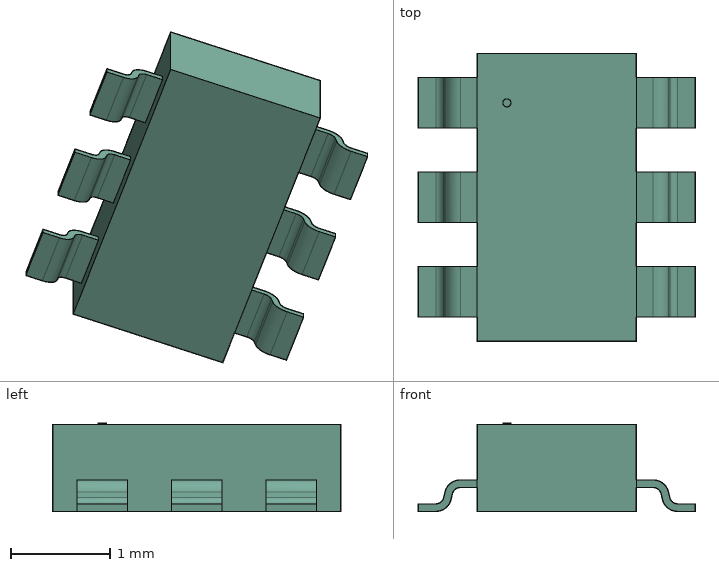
import cadquery as cq
import math

housing_width = 1.6
housing_length = 2.9
housing_height = 0.88

dot_diameter = 0.08
dot_thickness = 0.012
dot_inset_x = 0.3
dot_inset_y = 0.5

span_over_leads = 2.79
leads_per_side = 3
lead_pitch = 0.95
lead_width = 0.51
lead_thickness = 0.078
lead_top = 0.32
foot_length = 0.177
bend_inner_radius = 0.08
bend_angle = math.radians(77)

bend_outer_radius = bend_inner_radius + lead_thickness
bend_radii_sum = bend_inner_radius + bend_outer_radius
lead_rise = lead_top - lead_thickness
slope_rise = lead_rise - bend_radii_sum * (1 - math.cos(bend_angle))
slope_run = slope_rise / math.tan(bend_angle)
bends_run = bend_radii_sum * math.sin(bend_angle) + slope_run


def make_housing():
    return cq.Workplane("XY").box(
        housing_width, housing_length, housing_height, centered=(True, True, False)
    )


def make_dot():
    x = dot_inset_x - housing_width / 2
    y = housing_length / 2 - dot_inset_y
    return (
        cq.Workplane("XY", origin=(x, y, housing_height))
        .circle(dot_diameter / 2)
        .extrude(dot_thickness)
    )


def arc_point(center, radius, angle):
    """Point on a circle in the XZ plane, with the angle measured from +X."""
    return (center[0] + radius * math.cos(angle), center[1] + radius * math.sin(angle))


def make_left_lead(y):
    """Lead on the -X side, its width centred on y, from foot tip to housing wall."""
    tip_x = -span_over_leads / 2
    wall_x = -housing_width / 2
    foot_end_x = tip_x + foot_length
    shoulder_x = foot_end_x + bends_run
    lower_center = (foot_end_x, bend_outer_radius)
    upper_center = (shoulder_x, lead_top - bend_outer_radius)

    down = -math.pi / 2
    up = math.pi / 2
    half_bend = bend_angle / 2

    profile = (
        cq.Workplane("XZ", origin=(0, y, 0))
        .moveTo(tip_x, 0)
        .lineTo(foot_end_x, 0)
        .threePointArc(
            arc_point(lower_center, bend_outer_radius, down + half_bend),
            arc_point(lower_center, bend_outer_radius, down + bend_angle),
        )
        .lineTo(*arc_point(upper_center, bend_inner_radius, up + bend_angle))
        .threePointArc(
            arc_point(upper_center, bend_inner_radius, up + half_bend),
            arc_point(upper_center, bend_inner_radius, up),
        )
        .lineTo(wall_x, lead_top - lead_thickness)
        .lineTo(wall_x, lead_top)
        .lineTo(shoulder_x, lead_top)
        .threePointArc(
            arc_point(upper_center, bend_outer_radius, up + half_bend),
            arc_point(upper_center, bend_outer_radius, up + bend_angle),
        )
        .lineTo(*arc_point(lower_center, bend_inner_radius, down + bend_angle))
        .threePointArc(
            arc_point(lower_center, bend_inner_radius, down + half_bend),
            arc_point(lower_center, bend_inner_radius, down),
        )
        .lineTo(tip_x, lead_thickness)
        .close()
    )
    return profile.extrude(lead_width / 2, both=True)


housing = make_housing()
pin_one_dot = make_dot()

leads = []
for index in range(leads_per_side):
    lead_y = (index - (leads_per_side - 1) / 2) * lead_pitch
    left_lead = make_left_lead(lead_y)
    right_lead = left_lead.mirror("YZ")
    leads.append(left_lead.val())
    leads.append(right_lead.val())

result = cq.Compound.makeCompound([housing.val(), pin_one_dot.val(), *leads])